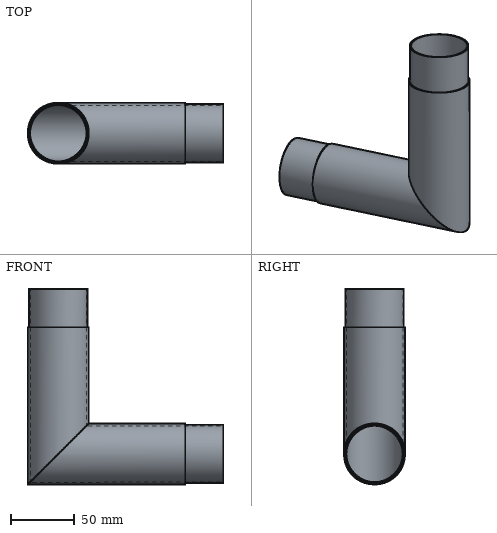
import cadquery as cq

overall_length = 154.2
tube_diameter = 48.2
spigot_diameter = 46.2
bore_diameter = 44.2
spigot_length = 30.0

tube_radius = tube_diameter / 2
leg_end = overall_length - tube_radius
shoulder = leg_end - spigot_length


def upright_cylinder(diameter, bottom, top):
    """Cylinder about the Z axis between two heights."""
    return cq.Workplane("XY").workplane(offset=bottom).circle(diameter / 2).extrude(top - bottom)


def mitre_wedge():
    """Space above the 45 degree mitre plane z = x, reaching as high as the leg."""
    outline = [(-tube_diameter, -tube_diameter), (leg_end, leg_end), (-tube_diameter, leg_end)]
    return cq.Workplane("XZ").polyline(outline).close().extrude(tube_radius, both=True)


def make_upright_leg():
    """Bored tube with a reduced spigot at its top and a mitred lower end."""
    tube = upright_cylinder(tube_diameter, -tube_radius, shoulder)
    spigot = upright_cylinder(spigot_diameter, shoulder, leg_end)
    bore = upright_cylinder(bore_diameter, -tube_radius, leg_end)
    return tube.union(spigot).cut(bore).intersect(mitre_wedge())


def make_level_leg():
    """The same leg reflected in the mitre plane, so that its spigot points along +X."""
    return make_upright_leg().mirror("YZ").rotate((0, 0, 0), (0, 1, 0), 90)


upright_leg = make_upright_leg()
level_leg = make_level_leg()

result = cq.Compound.makeCompound([upright_leg.val(), level_leg.val()])